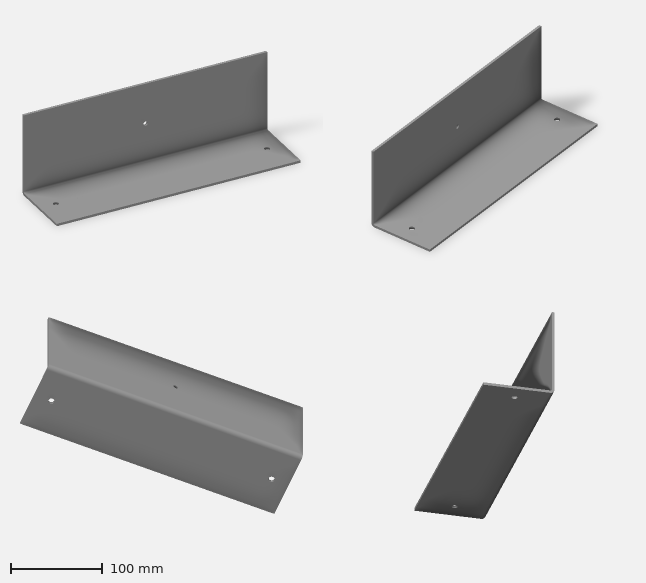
import cadquery as cq

width = 80.0
length = 300.0
height = 100.0
thickness = 3.0

inner_bend_radius = 1.8
outer_bend_radius = inner_bend_radius + thickness

base_hole_diameter = 6.5
base_hole_edge_distance = 20.0
wall_hole_diameter = 5.0


def make_bent_sheet():
    """L-shaped sheet along Y, with its outer corner on the Y axis."""
    profile = (
        cq.Workplane("XZ")
        .moveTo(outer_bend_radius, 0)
        .lineTo(width, 0)
        .lineTo(width, thickness)
        .lineTo(outer_bend_radius, thickness)
        .radiusArc((thickness, outer_bend_radius), inner_bend_radius)
        .lineTo(thickness, height)
        .lineTo(0, height)
        .lineTo(0, outer_bend_radius)
        .radiusArc((outer_bend_radius, 0), -outer_bend_radius)
        .close()
    )
    return profile.extrude(length / 2, both=True)


def make_base_holes():
    """Two holes through the horizontal leg, one near each end."""
    hole_y = length / 2 - base_hole_edge_distance
    return (
        cq.Workplane("XY")
        .pushPoints([(width / 2, -hole_y), (width / 2, hole_y)])
        .circle(base_hole_diameter / 2)
        .extrude(thickness)
    )


def make_wall_hole():
    """One hole through the middle of the vertical leg."""
    return (
        cq.Workplane("YZ")
        .center(0, height / 2)
        .circle(wall_hole_diameter / 2)
        .extrude(thickness)
    )


result = make_bent_sheet().cut(make_base_holes()).cut(make_wall_hole())